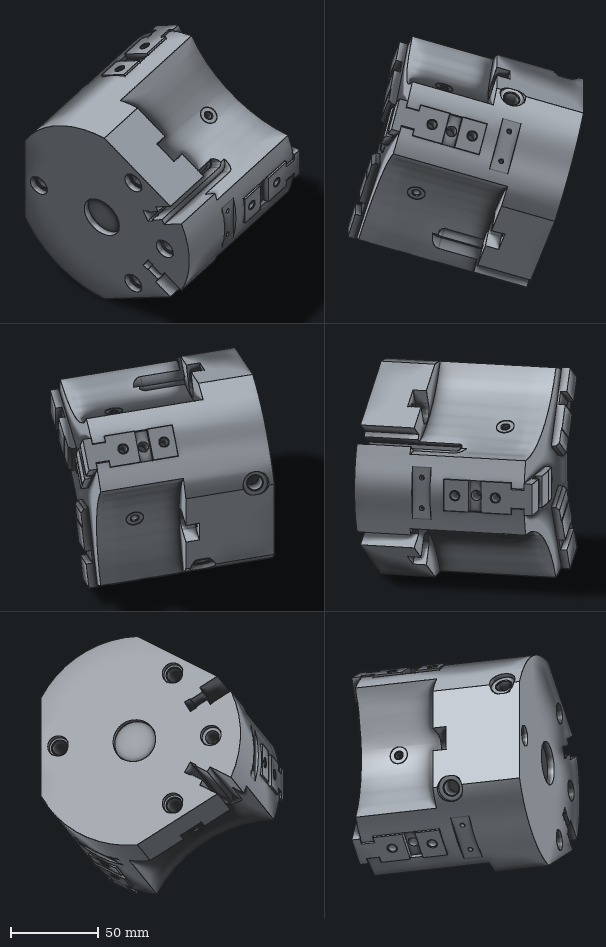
import cadquery as cq
import math


body_radius = 62.5
housing_top = 100.5
flat_distance = 55.0

scallop_depth_radius = 37.0
scallop_curve_radius = 76.2
high_floor_y = 52.0
low_floor_y = 32.0
flanks = [(180, high_floor_y), (60, low_floor_y), (-60, low_floor_y)]

mount_circle = 45.0
mount_hole_radius = 4.2
sleeve_radius = 6.0
sleeve_depth = 4.0
head_recess_radius = 7.0
head_recess_depth = 7.9
blind_hole_angle = 0
blind_hole_radius = 4.0
blind_hole_depth = 20.0
drill_point_angle = 118.0

countersink_size = 0.5

center_recess_radius = 12.5
center_recess_depth = 4.0

flank_screw_y = 78.0
flank_screw_radius = 2.1
flank_screw_depth = 7.5
flank_spot_radius = 5.1
flank_spot_depth = 0.2

ports = [(150, 10.6), (210, 42.0)]
port_spot_radius = 7.5
port_spot_distance = 59.4
port_hole_radius = 4.4
port_hole_depth = 11.2

slot_angles = [30, -30]
slot_spring_y = 55.1
wide_slot_width = 12.0
wide_slot_distance = 48.0
narrow_slot_width = 5.5
slot_end_width = 6.7
slot_end_distance = 36.1
slot_end_length = 3.6

sensor_angles = [0, 240]
sensor_flat_distance = 60.6
sensor_flat_bottom = 34.0
sensor_flat_height = 10.9
sensor_hole_spacing = 18.0
sensor_hole_radius = 1.4
sensor_hole_depth = 3.7

stud_x = 7.5
stud_base_radius = 3.7
stud_tip_radius = 2.2
stud_height = 1.9

jaw_angles = [0, 120, 240]
jaw_inner = 15.5
jaw_outer = 63.0
jaw_top = 105.5
jaw_bottom = 53.0
jaw_width = 18.5
jaw_neck_width = 10.9
jaw_neck_bottom = 92.8
jaw_neck_clearance = 0.5
jaw_tip_chamfer = 2.0
jaw_relief_depth = 0.4
jaw_relief_end = 26.1
key_slot_distance = 44.5
key_slot_width = 7.7
key_slot_depth = 3.7
jaw_groove_bottom = 67.6
jaw_groove_top = 75.2
jaw_groove_depth = 3.7
jaw_screw_radius = 2.5
jaw_screw_heights = [59.6, 83.6]
jaw_pin_radius = 3.0
jaw_hole_depth = 12.0

far = 2 * body_radius


def turned(shape, angle):
    """Turn a shape about the gripper axis, from +X toward +Z."""
    return shape.rotate((0, 0, 0), (0, 1, 0), -angle)


def cross_section(y):
    """Sketch plane across the axis at height y; sketch axes are X and Z, and +Y is a negative extrusion."""
    return cq.Workplane("XZ", origin=(0, y, 0))


def disc(x, z, radius, bottom, top):
    """Cylinder parallel to the gripper axis."""
    return cross_section(bottom).center(x, z).circle(radius).extrude(bottom - top)


def block(x_min, x_max, y_min, y_max, width):
    """Box that is centred on Z = 0."""
    size = (x_max - x_min, y_max - y_min, width)
    center = ((x_min + x_max) / 2, (y_min + y_max) / 2, 0)
    return cq.Workplane("XY").box(*size).translate(center)


def radial_bore(outer, depth, radius, y, z=0.0):
    """Cylinder along X that goes inward from X = outer."""
    return cq.Workplane("YZ", origin=(outer - depth, y, z)).circle(radius).extrude(depth)


def countersink(hole_radius):
    """Cone along X that widens a hole mouth at X = 0."""
    mouth = cq.Workplane("YZ").circle(hole_radius + countersink_size)
    return mouth.workplane(offset=-countersink_size).circle(hole_radius).loft()


def tapped_bore(outer, depth, radius, y):
    """Countersunk blind hole along X that goes inward from X = outer."""
    bore = radial_bore(outer, depth, radius, y)
    return bore.union(countersink(radius).translate((outer, y, 0)))


def jaw_envelope(neck_width):
    """T-shaped jaw without its holes and grooves, pointing along +X."""
    guide = block(jaw_inner, jaw_outer, jaw_bottom, jaw_neck_bottom, jaw_width)
    neck = block(jaw_inner, jaw_outer, jaw_neck_bottom, housing_top, neck_width)
    head = block(jaw_inner, jaw_outer, housing_top, jaw_top, jaw_width)
    return guide.union(neck).union(head)


def make_jaw(angle):
    jaw = jaw_envelope(jaw_neck_width)
    relief_y = jaw_top - jaw_relief_depth
    jaw = jaw.cut(block(jaw_inner, jaw_relief_end, relief_y, jaw_top, jaw_width))
    jaw = jaw.faces("<X").edges(">Y").chamfer(jaw_tip_chamfer)
    key_start = key_slot_distance - key_slot_width / 2
    jaw = jaw.cut(block(key_start, key_start + key_slot_width, jaw_top - key_slot_depth, jaw_top, jaw_width))
    groove_floor = jaw_outer - jaw_groove_depth
    jaw = jaw.cut(block(groove_floor, jaw_outer, jaw_groove_bottom, jaw_groove_top, jaw_width))
    groove_middle = (jaw_groove_bottom + jaw_groove_top) / 2
    jaw = jaw.cut(radial_bore(groove_floor, jaw_hole_depth, jaw_pin_radius, groove_middle))
    for y in jaw_screw_heights:
        jaw = jaw.cut(tapped_bore(jaw_outer, jaw_hole_depth, jaw_screw_radius, y))
    return turned(jaw, angle)


def housing_blank():
    return disc(0, 0, body_radius, 0, housing_top)


def flank_cut(angle, floor_y):
    """Flat, scallop, screw-head recess and scallop screw hole of one flank."""
    flat = block(flat_distance, far, 0, housing_top, far)
    scallop_center = scallop_depth_radius + scallop_curve_radius
    scallop = disc(scallop_center, 0, scallop_curve_radius, floor_y, housing_top)
    recess_floor = floor_y - head_recess_depth
    recess = disc(mount_circle, 0, head_recess_radius, recess_floor, floor_y)
    recess = recess.union(block(mount_circle, body_radius, recess_floor, floor_y, 2 * head_recess_radius))
    spot_floor = scallop_depth_radius - flank_spot_depth
    spot = radial_bore(body_radius, body_radius - spot_floor, flank_spot_radius, flank_screw_y)
    screw = tapped_bore(spot_floor, flank_screw_depth, flank_screw_radius, flank_screw_y)
    return turned(flat.union(scallop).union(recess).union(spot).union(screw), angle)


def mount_hole(angle, floor_y):
    """Through hole with a countersunk mouth under a sleeve counterbore."""
    hole = disc(mount_circle, 0, mount_hole_radius, 0, floor_y)
    mouth = countersink(mount_hole_radius).rotate((0, 0, 0), (0, 0, 1), -90)
    mouth = mouth.translate((mount_circle, sleeve_depth, 0))
    sleeve = disc(mount_circle, 0, sleeve_radius, 0, sleeve_depth)
    return turned(hole.union(mouth).union(sleeve), angle)


def blind_hole():
    """Sleeve counterbore with a drilled hole that ends in a cone."""
    point_length = blind_hole_radius / math.tan(math.radians(drill_point_angle / 2))
    profile = [
        (0, 0),
        (sleeve_radius, 0),
        (sleeve_radius, sleeve_depth),
        (blind_hole_radius, sleeve_depth),
        (blind_hole_radius, blind_hole_depth),
        (0, blind_hole_depth + point_length),
    ]
    hole = cq.Workplane("XY").polyline(profile).close().revolve(360, (0, 0), (0, 1))
    return turned(hole.translate((mount_circle, 0, 0)), blind_hole_angle)


def port(angle, y):
    spot = radial_bore(far, far - port_spot_distance, port_spot_radius, y)
    hole = tapped_bore(port_spot_distance, port_hole_depth, port_hole_radius, y)
    return turned(spot.union(hole), angle)


def round_topped_slot(start, end, width):
    straight = block(start, end, 0, slot_spring_y, width)
    return straight.union(radial_bore(end, end - start, width / 2, slot_spring_y))


def stepped_slot(angle):
    inner_end = round_topped_slot(slot_end_distance, slot_end_distance + slot_end_length, slot_end_width)
    narrow = round_topped_slot(slot_end_distance, wide_slot_distance, narrow_slot_width)
    wide = round_topped_slot(wide_slot_distance, far, wide_slot_width)
    return turned(inner_end.union(narrow).union(wide), angle)


def sensor_flat(angle):
    top = sensor_flat_bottom + sensor_flat_height
    cut = block(sensor_flat_distance, far, sensor_flat_bottom, top, far)
    hole_y = sensor_flat_bottom + sensor_flat_height / 2
    for side in (-1, 1):
        z = side * sensor_hole_spacing / 2
        cut = cut.union(radial_bore(sensor_flat_distance, sensor_hole_depth, sensor_hole_radius, hole_y, z))
    return turned(cut, angle)


def stud():
    cone = cross_section(housing_top).circle(stud_base_radius).workplane(offset=-stud_height)
    return cone.circle(stud_tip_radius).loft().translate((stud_x, 0, 0))


def make_housing():
    housing = housing_blank()
    for angle, floor_y in flanks:
        housing = housing.cut(flank_cut(angle, floor_y))
        housing = housing.cut(mount_hole(angle, floor_y))
    for angle in slot_angles:
        housing = housing.cut(stepped_slot(angle))
    for angle in sensor_angles:
        housing = housing.cut(sensor_flat(angle))
    for angle, y in ports:
        housing = housing.cut(port(angle, y))
    housing = housing.cut(blind_hole())
    housing = housing.cut(disc(0, 0, center_recess_radius, 0, center_recess_depth))
    guide_slot = jaw_envelope(jaw_neck_width + 2 * jaw_neck_clearance)
    for angle in jaw_angles:
        housing = housing.cut(turned(guide_slot, angle))
    return housing.union(stud())


housing = make_housing()
jaws = [make_jaw(angle) for angle in jaw_angles]

result = cq.Compound.makeCompound([housing.val(), *[jaw.val() for jaw in jaws]])